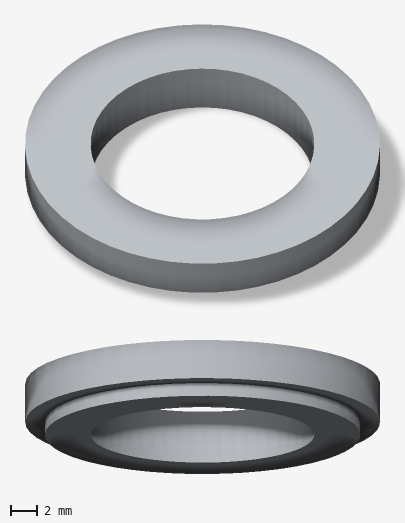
import cadquery as cq

flange_diameter = 27.0
spigot_diameter = 24.0
bore_diameter = 17.0
total_height = 4.0
spigot_height = total_height / 4
flange_height = total_height - spigot_height

spigot = cq.Workplane("XY").circle(spigot_diameter / 2).extrude(spigot_height)
stepped_disc = spigot.faces(">Z").workplane().circle(flange_diameter / 2).extrude(flange_height)

bore = cq.Workplane("XY").circle(bore_diameter / 2).extrude(total_height)

result = stepped_disc.cut(bore)